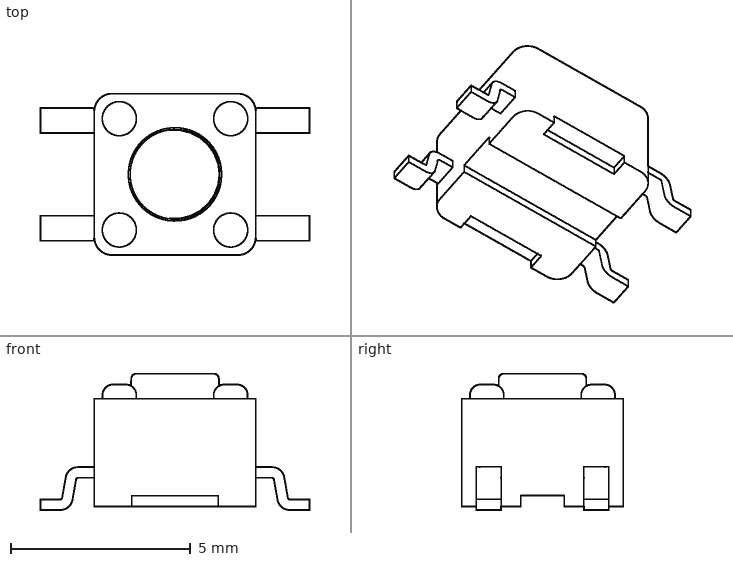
import cadquery as cq
import math

total_height = 3.8
standoff = 0.1

body_side = 4.5
body_height = 3.0
body_corner_radius = 0.5
body_top = standoff + body_height

recess_height = 0.3
channel_width = 1.2
side_recess_width = 2.4
side_recess_depth = 0.5

well_diameter = 2.6
well_depth = 0.3
well_floor = body_top - well_depth
button_base_diameter = 2.5
button_top_diameter = 2.45
button_rim_radius = 0.15
button_height = total_height - well_floor

rivet_diameter = 0.95
rivet_height = 0.4
rivet_rounding = 0.3
rivet_offset = 1.55

lead_span = 7.5
lead_width = 0.7
lead_thickness = 0.3
lead_offset = 1.5
lead_top = 1.2
lead_inner_radius = 0.05
lead_outer_radius = lead_inner_radius + lead_thickness
lead_shoulder_end = 2.7
lead_slope_angle = math.radians(80)


def make_housing():
    """Square block with rounded corners, a button well in its top and recesses in its underside."""
    block = (
        cq.Workplane("XY", origin=(0, 0, standoff))
        .rect(body_side, body_side)
        .extrude(body_height)
        .edges("|Z")
        .fillet(body_corner_radius)
    )
    underside = cq.Workplane("XY", origin=(0, 0, standoff))
    channel = underside.rect(body_side, channel_width).extrude(recess_height)
    side_recesses = (
        underside.pushPoints([(0, -body_side / 2), (0, body_side / 2)])
        .rect(side_recess_width, 2 * side_recess_depth)
        .extrude(recess_height)
    )
    well = cq.Workplane("XY", origin=(0, 0, well_floor)).circle(well_diameter / 2).extrude(well_depth)
    return block.cut(channel).cut(side_recesses).cut(well)


def make_button():
    """Tapered button, revolved about the Z axis and placed on the floor of the well."""
    base_radius = button_base_diameter / 2
    top_radius = button_top_diameter / 2
    rim_start = button_height - button_rim_radius
    flat_radius = top_radius - button_rim_radius
    diagonal = button_rim_radius * math.sqrt(0.5)
    return (
        cq.Workplane("XZ")
        .lineTo(base_radius, 0)
        .lineTo(top_radius, rim_start)
        .threePointArc((flat_radius + diagonal, rim_start + diagonal), (flat_radius, button_height))
        .lineTo(0, button_height)
        .close()
        .revolve(360, (0, 0, 0), (0, 1, 0))
        .translate((0, 0, well_floor))
    )


def make_rivets():
    """Four domed rivets standing on the top face."""
    return (
        cq.Workplane("XY", origin=(0, 0, body_top))
        .rect(2 * rivet_offset, 2 * rivet_offset, forConstruction=True)
        .vertices()
        .circle(rivet_diameter / 2)
        .extrude(rivet_height)
        .faces(">Z")
        .edges()
        .fillet(rivet_rounding)
    )


def point_on_circle(center, radius, angle):
    """Point at the given angle on a circle, in the plane of the lead profile."""
    return (center[0] + radius * math.cos(angle), center[1] + radius * math.sin(angle))


def make_lead():
    """One lead on the +X side, centred on Y = 0: shoulder, sloped web and foot."""
    tip = lead_span / 2
    root = body_side / 2

    radius_sum = lead_outer_radius + lead_inner_radius
    upper_center = (lead_shoulder_end, lead_top - lead_outer_radius)
    lower_center_z = lead_outer_radius
    center_drop = upper_center[1] - lower_center_z
    web_length = (center_drop + radius_sum * math.cos(lead_slope_angle)) / math.sin(lead_slope_angle)
    center_shift = radius_sum * math.sin(lead_slope_angle) + web_length * math.cos(lead_slope_angle)
    lower_center = (upper_center[0] + center_shift, lower_center_z)

    up = math.pi / 2
    upper_web = up - lead_slope_angle
    upper_middle = up - lead_slope_angle / 2
    down = up + math.pi
    lower_web = upper_web + math.pi
    lower_middle = upper_middle + math.pi

    return (
        cq.Workplane("XZ")
        .moveTo(root, lead_top)
        .lineTo(*point_on_circle(upper_center, lead_outer_radius, up))
        .threePointArc(
            point_on_circle(upper_center, lead_outer_radius, upper_middle),
            point_on_circle(upper_center, lead_outer_radius, upper_web),
        )
        .lineTo(*point_on_circle(lower_center, lead_inner_radius, lower_web))
        .threePointArc(
            point_on_circle(lower_center, lead_inner_radius, lower_middle),
            point_on_circle(lower_center, lead_inner_radius, down),
        )
        .lineTo(tip, lead_thickness)
        .lineTo(tip, 0)
        .lineTo(*point_on_circle(lower_center, lead_outer_radius, down))
        .threePointArc(
            point_on_circle(lower_center, lead_outer_radius, lower_middle),
            point_on_circle(lower_center, lead_outer_radius, lower_web),
        )
        .lineTo(*point_on_circle(upper_center, lead_inner_radius, upper_web))
        .threePointArc(
            point_on_circle(upper_center, lead_inner_radius, upper_middle),
            point_on_circle(upper_center, lead_inner_radius, up),
        )
        .lineTo(root, lead_top - lead_thickness)
        .close()
        .extrude(lead_width / 2, both=True)
    )


result = make_housing().union(make_button()).union(make_rivets())

right_lead = make_lead()
left_lead = right_lead.mirror("YZ")
for lead_y in (-lead_offset, lead_offset):
    for lead in (left_lead, right_lead):
        result = result.union(lead.translate((0, lead_y, 0)))